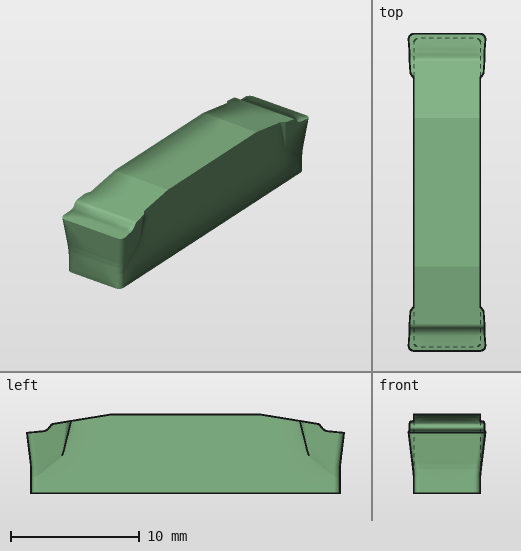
import cadquery as cq
import math

length = 24.7
height = 6.15
shank_width = 5.18
half_length = length / 2
half_shank = shank_width / 2

edge_height = 4.72
base_setback = 0.32
relief_start = 1.88
relief_blend_end = 2.32
relief_angle = math.radians(7)

ledge_depth = 1.25
ledge_height = 4.85
scarp_foot = (1.78, 5.15)
scarp_head = (1.85, 5.25)
crest = (2.17, 5.43)
ramp_end = 6.57

head_bottom = 1.28
head_length = 3.95
blank_half_width = 3.95
flank_origin = (0.75, head_bottom)
flank_flare = 0.11
flank_taper = 0.09
rear_origin = (3.45, 5.65)
rear_slope = 0.78
rear_lean = 0.25
corner_radius = 0.45
rear_edge_radius = 0.25
cutter_size = 19.75

select_margin = 0.02
corner_reach = 0.62
rear_edge_inward = (2.47, 3.33)
rear_edge_z = (2.47, 4.95)


def at(inward, z):
    """Point in the YZ plane, placed from the -Y cutting edge."""
    return (inward - half_length, z)


def quarter_body(half_width):
    """Side profile of the -Y half, extruded from the middle plane toward +X."""
    relief_top = edge_height - relief_blend_end
    blend_setback = relief_top * math.tan(relief_angle)
    return (
        cq.Workplane("YZ")
        .moveTo(0, 0)
        .lineTo(*at(base_setback, 0))
        .lineTo(*at(base_setback, relief_start))
        .tangentArcPoint(at(blend_setback, relief_blend_end), relative=False)
        .lineTo(*at(0, edge_height))
        .lineTo(*at(ledge_depth, ledge_height))
        .tangentArcPoint(at(*scarp_foot), relative=False)
        .lineTo(*at(*scarp_head))
        .tangentArcPoint(at(*crest), relative=False)
        .lineTo(*at(ramp_end, height))
        .lineTo(0, height)
        .close()
        .extrude(half_width)
    )


def cutter(origin, normal):
    """Large block filling the outer side of a sloping +X plane."""
    plane = cq.Plane((half_shank, *at(*origin)), (0, normal[2], -normal[1]), normal)
    return cq.Workplane(plane).rect(cutter_size, cutter_size).extrude(cutter_size)


def upright_edges(inward_range, z_range):
    """Selector for edges near the +X face of the shank at the -Y end."""
    return cq.selectors.BoxSelector(
        (half_shank - corner_reach, *at(inward_range[0], z_range[0])),
        (half_shank + corner_reach, *at(inward_range[1], z_range[1])),
    )


def round_corner(body, bottom):
    """Round the upright front corner from the given height to the cutting edge."""
    corner = upright_edges(
        (-select_margin, base_setback + select_margin),
        (bottom + select_margin, edge_height - select_margin),
    )
    return body.edges(corner).fillet(corner_radius)


def make_shank():
    return round_corner(quarter_body(half_shank), 0)


def make_head():
    blank = (
        cq.Workplane("XY")
        .box(blank_half_width, head_length, height, centered=False)
        .translate((0, -half_length, head_bottom))
    )
    head = quarter_body(blank_half_width).intersect(blank)
    head = head.cut(cutter(flank_origin, (1, flank_taper, -flank_flare)))
    head = head.cut(cutter(rear_origin, (1, rear_slope, -rear_slope * rear_lean)))

    head = head.edges(upright_edges(rear_edge_inward, rear_edge_z)).fillet(rear_edge_radius)
    return round_corner(head, head_bottom)


quarter = make_shank().union(make_head())
end = quarter.union(quarter.mirror("YZ"))
result = end.union(end.mirror("XZ")).clean()